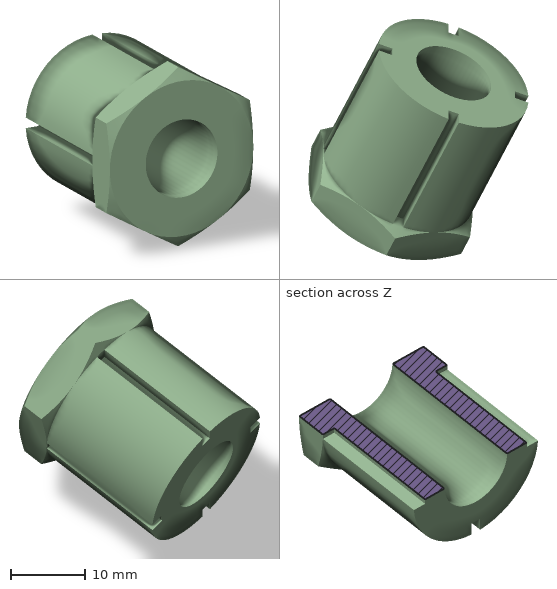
import cadquery as cq
import math

across_corners = 25.4
total_length = 24.0
head_thickness = 5.0
bore_diameter = 11.0
slot_width = 1.5
slot_depth = 2.0
slot_count = 4
chamfer_angle = 30.0

corner_radius = across_corners / 2
flat_radius = corner_radius * math.cos(math.radians(30))
barrel_length = total_length - head_thickness
chamfer_length = (corner_radius - flat_radius) * math.tan(math.radians(chamfer_angle))


def make_head():
    """Hexagon with corners on +Z and -Z, both faces chamfered by a cone."""
    hexagon = (
        cq.Workplane("YZ", origin=(barrel_length, 0, 0))
        .transformed(rotate=(0, 0, 90))
        .polygon(6, across_corners)
        .extrude(head_thickness)
    )
    envelope = (
        cq.Workplane("XY")
        .moveTo(barrel_length, 0)
        .lineTo(barrel_length, flat_radius)
        .lineTo(barrel_length + chamfer_length, corner_radius)
        .lineTo(total_length - chamfer_length, corner_radius)
        .lineTo(total_length, flat_radius)
        .lineTo(total_length, 0)
        .close()
        .revolve(360, (0, 0, 0), (1, 0, 0))
    )
    return hexagon.intersect(envelope)


def make_barrel():
    """Cylinder with lengthwise slots that stop at the head."""
    barrel = cq.Workplane("YZ").circle(flat_radius).extrude(barrel_length)
    slots = (
        cq.Workplane("YZ")
        .polarArray(flat_radius, 0, 360, slot_count)
        .rect(2 * slot_depth, slot_width)
        .extrude(barrel_length)
    )
    return barrel.cut(slots)


bore = cq.Workplane("YZ").circle(bore_diameter / 2).extrude(total_length)
result = make_barrel().union(make_head()).cut(bore)